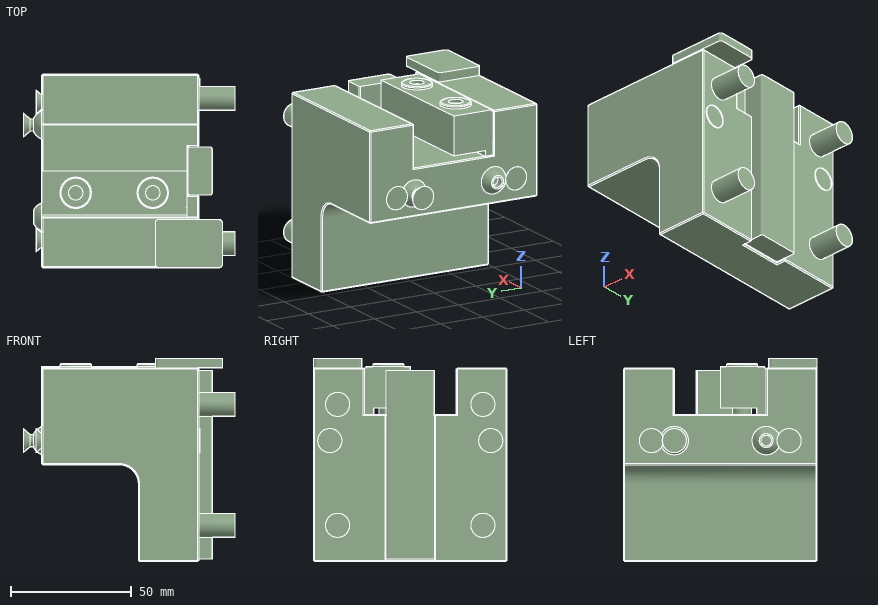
import cadquery as cq

body_length = 65.05
body_width = 80.0
body_height = 80.0
leg_thickness = 25.0
arm_underside = body_height / 2
inner_radius = 8.0
edge_chamfer = 0.5
mid_y = body_width / 2

slot_wall = 21.0
slot_floor = 60.85
slot_width = body_width - 2 * slot_wall

key_width = 20.0
groove_depth = 4.5
key_projection = 5.5
key_end_gap = 1.0
key_radius = 1.0
groove_floor = body_length - groove_depth

jaw_length = groove_floor - edge_chamfer
jaw_bottom = 63.4
jaw_top = 80.55
jaw_rebate_width = 0.8
jaw_rebate_depth = 0.5
jaw_lip_width = 3.9
cap_screw_xs = (14.1, 46.0)
cap_screw_y = 31.0
cap_head_diameter = 13.0
cap_head_height = 1.3
cap_head_chamfer = 0.4
cap_socket_diameter = 5.95
cap_socket_depth = 1.5
cap_shank_diameter = 8.0

plate_length = 27.8
plate_width = 20.0
plate_thickness = 3.9
plate_x = 47.0
plate_radius = 1.5

pin_diameter = 10.0
pin_projection = 15.0
pin_inset = pin_diameter
pin_zs = (15.0, 65.0)

screw_z = 50.0
embed = 1.75

dome_inset = slot_wall
dome_height = 3.3
dome_base_radius = 5.9
dome_mid_depth = 2.0
dome_mid_radius = 4.55
dome_flat_radius = 2.9
dome_socket_diameter = 4.4
dome_socket_depth = 3.5

flare_radius = 5.0
flare_neck_radius = 2.5
flare_length = 2.8
outer_flare_inset = 11.6
outer_flare_projection = 2.3
long_flare_projection = 7.5

disc_diameter = 10.0
disc_projection = 0.4
disc_inset = 6.7


def block(x0, x1, y0, y1, z0, z1):
    """Box between two opposite corners."""
    return cq.Workplane("XY").box(x1 - x0, y1 - y0, z1 - z0, centered=False).translate((x0, y0, z0))


def x_cylinder(x0, x1, y, z, diameter):
    """Cylinder along X."""
    return cq.Workplane("YZ", origin=(x0, y, z)).circle(diameter / 2).extrude(x1 - x0)


def z_cylinder(x, y, z0, z1, diameter):
    """Cylinder along Z."""
    return cq.Workplane("XY", origin=(x, y, z0)).circle(diameter / 2).extrude(z1 - z0)


def mirrored(inset):
    """The two Y positions at the same inset from both sides."""
    return (inset, body_width - inset)


def make_body():
    leg_x = body_length - leg_thickness
    body = (
        cq.Workplane("XZ")
        .moveTo(0, body_height)
        .lineTo(body_length, body_height)
        .lineTo(body_length, 0)
        .lineTo(leg_x, 0)
        .lineTo(leg_x, arm_underside - inner_radius)
        .radiusArc((leg_x - inner_radius, arm_underside), -inner_radius)
        .lineTo(0, arm_underside)
        .close()
        .extrude(-body_width)
    )
    slot = block(0, body_length, slot_wall, slot_wall + slot_width, slot_floor, body_height)
    groove = block(
        groove_floor, body_length, mid_y - key_width / 2, mid_y + key_width / 2, 0, body_height
    )
    body = body.cut(slot).cut(groove)
    groove_rim = cq.selectors.BoxSelector(
        (groove_floor - edge_chamfer, slot_wall + edge_chamfer, slot_floor - edge_chamfer),
        (body_length, body_width - slot_wall - edge_chamfer, slot_floor + edge_chamfer),
    )
    outer_faces = "<X or >X or <Y or >Y or <Z or >Z"
    return body.faces(outer_faces).edges().add(body.edges(groove_rim)).chamfer(edge_chamfer)


def make_key():
    key = block(
        groove_floor, body_length + key_projection,
        mid_y - key_width / 2, mid_y + key_width / 2,
        key_end_gap, body_height - key_end_gap,
    )
    key = key.edges("|Z and >X").fillet(key_radius)
    return key.edges("|Z and <X").chamfer(edge_chamfer)


def make_jaw():
    jaw = (
        cq.Workplane("YZ")
        .moveTo(slot_wall, slot_floor)
        .lineTo(slot_wall + jaw_lip_width, slot_floor)
        .lineTo(slot_wall + jaw_lip_width, jaw_bottom)
        .lineTo(mid_y, jaw_bottom)
        .lineTo(mid_y, jaw_top)
        .lineTo(slot_wall + jaw_rebate_width, jaw_top)
        .lineTo(slot_wall + jaw_rebate_width, jaw_top - jaw_rebate_depth)
        .lineTo(slot_wall, jaw_top - jaw_rebate_depth)
        .close()
        .extrude(jaw_length)
    )
    head_top = jaw_top + cap_head_height
    for x in cap_screw_xs:
        shank = z_cylinder(x, cap_screw_y, slot_floor - embed, jaw_top, cap_shank_diameter)
        head = z_cylinder(x, cap_screw_y, jaw_top, head_top, cap_head_diameter)
        head = head.faces(">Z").edges().chamfer(cap_head_chamfer)
        socket = z_cylinder(x, cap_screw_y, head_top - cap_socket_depth, head_top, cap_socket_diameter)
        jaw = jaw.union(shank).union(head).cut(socket)
    return jaw


def make_plate():
    plate = block(
        plate_x, plate_x + plate_length, 0, plate_width, body_height, body_height + plate_thickness
    )
    return plate.edges("|Z").fillet(plate_radius)


def make_dome(y):
    """Button screw head rising from the -X face; the profile is (x, radius)."""
    return (
        cq.Workplane("XY")
        .moveTo(embed, 0)
        .lineTo(embed, dome_base_radius)
        .lineTo(0, dome_base_radius)
        .threePointArc((-dome_mid_depth, dome_mid_radius), (-dome_height, dome_flat_radius))
        .lineTo(-dome_height, 0)
        .close()
        .revolve(360, (0, 0, 0), (1, 0, 0))
        .translate((0, y, screw_z))
    )


def make_flared_screw(y, projection):
    """Countersunk screw whose wide flat end stands off the -X face."""
    return (
        cq.Workplane("XY")
        .moveTo(-projection, 0)
        .lineTo(-projection, flare_radius)
        .lineTo(flare_length - projection, flare_neck_radius)
        .lineTo(embed, flare_neck_radius)
        .lineTo(embed, 0)
        .close()
        .revolve(360, (0, 0, 0), (1, 0, 0))
        .translate((0, y, screw_z))
    )


result = make_body().union(make_key()).union(make_jaw()).union(make_plate())

for pin_y in mirrored(pin_inset):
    for pin_z in pin_zs:
        pin = x_cylinder(body_length - embed, body_length + pin_projection, pin_y, pin_z, pin_diameter)
        result = result.union(pin)

for disc_y in mirrored(disc_inset):
    disc = x_cylinder(body_length - embed, body_length + disc_projection, disc_y, screw_z, disc_diameter)
    result = result.union(disc)

for dome_y in mirrored(dome_inset):
    result = result.union(make_dome(dome_y))

open_dome_y, filled_dome_y = mirrored(dome_inset)
result = result.cut(
    x_cylinder(-dome_height, dome_socket_depth - dome_height, open_dome_y, screw_z, dome_socket_diameter)
)
result = result.union(make_flared_screw(filled_dome_y, long_flare_projection))
for flare_y in mirrored(outer_flare_inset):
    result = result.union(make_flared_screw(flare_y, outer_flare_projection))